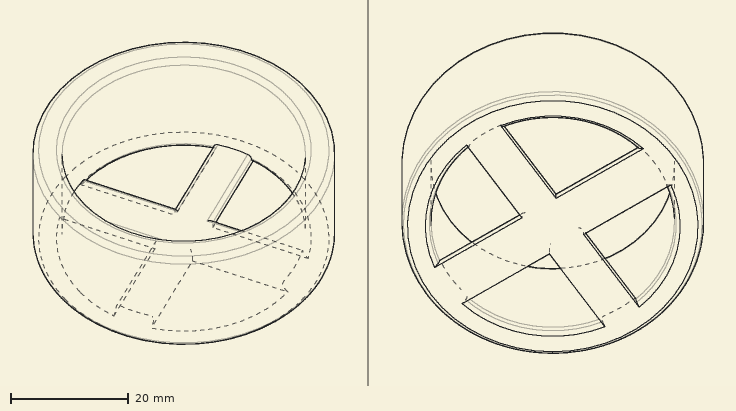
import cadquery as cq

OUTER_DIAMETER = 51.5
BORE_DIAMETER = 41.5
HEIGHT = 22.0
EDGE_SIZE = 1.0

BAR_ALONG_X_WIDTH = 8.55
BAR_ALONG_Y_WIDTH = 7.0
BAR_THICKNESS = 2.0
BAR_FILLET = 0.7

OUTER_RADIUS = OUTER_DIAMETER / 2
BORE_RADIUS = BORE_DIAMETER / 2
BAR_LENGTH = BORE_DIAMETER + (OUTER_RADIUS - BORE_RADIUS)


def make_ring():
    """Tube with rounded upper rims and softened chamfers around both base edges."""
    ring = cq.Workplane("XY").circle(OUTER_RADIUS).circle(BORE_RADIUS).extrude(HEIGHT)
    ring = ring.faces(">Z").edges().fillet(EDGE_SIZE)
    ring = ring.faces("<Z").edges().chamfer(EDGE_SIZE)
    chamfer_band = cq.selectors.BoxSelector(
        (-OUTER_DIAMETER, -OUTER_DIAMETER, EDGE_SIZE / 2),
        (OUTER_DIAMETER, OUTER_DIAMETER, EDGE_SIZE * 3 / 2),
    )
    return ring.edges("%CIRCLE").edges(chamfer_band).fillet(EDGE_SIZE)


def make_bar(length_x, length_y):
    """Flat bar centred on the axis, standing on the base plane."""
    return cq.Workplane("XY").rect(length_x, length_y).extrude(BAR_THICKNESS)


def make_cross():
    """Two crossing bars with rounded upper edges and ends buried in the wall."""
    bar_along_x = make_bar(BAR_LENGTH, BAR_ALONG_X_WIDTH)
    bar_along_y = make_bar(BAR_ALONG_Y_WIDTH, BAR_LENGTH)
    cross = bar_along_x.union(bar_along_y)
    return cross.faces(">Z").edges().fillet(BAR_FILLET)


result = make_ring().union(make_cross())